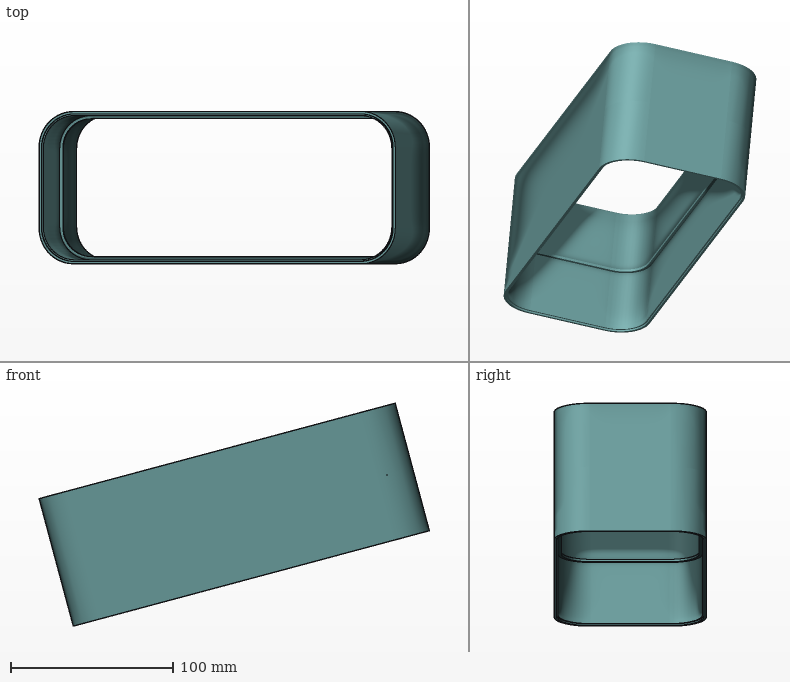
import cadquery as cq

length = 227.38
width = 94.0
outer_corner_radius = 22.0
chamber_depth = 40.0
lip_thickness = 1.5
tilt_angle = 15.0

wall = 2.5
chamber_corner_radius = 20.0
lip_projection = 2.0

rebate_width = 1.0
rebate_depth = 1.0

half_height = chamber_depth + lip_thickness / 2
chamber_length = length - 2 * wall
chamber_width = width - 2 * wall


def rounded_prism(size_x, size_y, radius, bottom):
    """Prism with rounded upright edges, from the bottom level up to the rim."""
    return (
        cq.Workplane("XY")
        .workplane(offset=bottom)
        .rect(size_x, size_y)
        .extrude(half_height - bottom)
        .edges("|Z")
        .fillet(radius)
    )


def opening(growth, bottom):
    """Cavity up to the rim: the chamber outline grown evenly (shrunk if negative)."""
    return rounded_prism(
        chamber_length + 2 * growth,
        chamber_width + 2 * growth,
        chamber_corner_radius + growth,
        bottom,
    )


def upper_half():
    """Tube above the mid-plane, with half of the lip at its foot."""
    shell = rounded_prism(length, width, outer_corner_radius, 0)
    lip_opening = opening(-lip_projection, 0)
    chamber = opening(0, lip_thickness / 2)
    rebate = opening(rebate_width, half_height - rebate_depth)
    return shell.cut(lip_opening).cut(chamber).cut(rebate)


upper = upper_half()
lower = upper.mirror("XY")
tube = upper.union(lower, clean=False)

result = tube.rotate((0, 0, 0), (0, 1, 0), -tilt_angle)